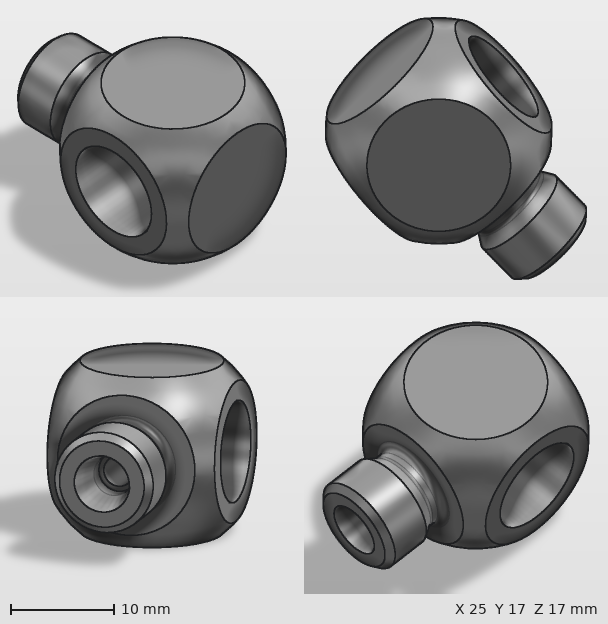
import cadquery as cq
import math

BODY_SIZE = 17.0
SPHERE_DIAMETER = 22.0
BANJO_BORE_DIAMETER = 10.0

STUD_LENGTH = 8.0
STUD_DIAMETER = 10.0
STUD_CHAMFER = 0.7
THREAD_LENGTH = 4.93
UNDERCUT_DIAMETER = 8.4
UNDERCUT_RUNOUT_ANGLE = 30.0
UNDERCUT_RADIUS = 0.8

CONE_MOUTH_DIAMETER = 5.6
CONE_HALF_ANGLE = 12.0
SOCKET_DIAMETER = 4.0
SOCKET_DEPTH = 5.5
PASSAGE_DIAMETER = 3.0

BODY_FACE_X = -BODY_SIZE / 2
STUD_END_X = BODY_FACE_X - STUD_LENGTH


def make_body():
    """Cube with its edges and corners trimmed by the sphere."""
    cube = cq.Workplane("XY").box(BODY_SIZE, BODY_SIZE, BODY_SIZE)
    return cube.intersect(cq.Workplane("XY").sphere(SPHERE_DIAMETER / 2))


def revolve_about_x(profile):
    """Revolve a closed XY half profile about the stud axis."""
    return profile.close().revolve(360, (0, 0, 0), (1, 0, 0))


def make_stud():
    """Chamfered stud with a blended undercut next to the body."""
    stud_radius = STUD_DIAMETER / 2
    neck_radius = UNDERCUT_DIAMETER / 2
    thread_end_x = STUD_END_X + THREAD_LENGTH
    runout = math.radians(UNDERCUT_RUNOUT_ANGLE)

    tangent_length = UNDERCUT_RADIUS * math.tan(runout / 2)
    corner_x = thread_end_x + (stud_radius - neck_radius) / math.tan(runout)
    blend_start = (
        corner_x - tangent_length * math.cos(runout),
        neck_radius + tangent_length * math.sin(runout),
    )
    blend_end = (corner_x + tangent_length, neck_radius)
    blend_middle = (
        blend_end[0] - UNDERCUT_RADIUS * math.sin(runout / 2),
        neck_radius + UNDERCUT_RADIUS * (1 - math.cos(runout / 2)),
    )

    root_start = (BODY_FACE_X - UNDERCUT_RADIUS, neck_radius)
    root_middle = (
        root_start[0] + UNDERCUT_RADIUS * math.sin(math.pi / 4),
        neck_radius + UNDERCUT_RADIUS * (1 - math.cos(math.pi / 4)),
    )
    root_end = (BODY_FACE_X, neck_radius + UNDERCUT_RADIUS)

    profile = (
        cq.Workplane("XY")
        .moveTo(STUD_END_X, 0)
        .lineTo(STUD_END_X, stud_radius - STUD_CHAMFER)
        .lineTo(STUD_END_X + STUD_CHAMFER, stud_radius)
        .lineTo(thread_end_x, stud_radius)
        .lineTo(*blend_start)
        .threePointArc(blend_middle, blend_end)
        .lineTo(*root_start)
        .threePointArc(root_middle, root_end)
        .lineTo(0, root_end[1])
        .lineTo(0, 0)
    )
    return revolve_about_x(profile)


def make_banjo_bore():
    """Through bore along Y."""
    return cq.Workplane("XZ").circle(BANJO_BORE_DIAMETER / 2).extrude(BODY_SIZE / 2, both=True)


def make_socket():
    """Conical tube socket, tube stop and passage into the banjo bore."""
    mouth_radius = CONE_MOUTH_DIAMETER / 2
    socket_radius = SOCKET_DIAMETER / 2
    passage_radius = PASSAGE_DIAMETER / 2
    cone_depth = (mouth_radius - socket_radius) / math.tan(math.radians(CONE_HALF_ANGLE))
    stop_x = STUD_END_X + SOCKET_DEPTH

    profile = (
        cq.Workplane("XY")
        .moveTo(STUD_END_X, 0)
        .lineTo(STUD_END_X, mouth_radius)
        .lineTo(STUD_END_X + cone_depth, socket_radius)
        .lineTo(stop_x, socket_radius)
        .lineTo(stop_x, passage_radius)
        .lineTo(0, passage_radius)
        .lineTo(0, 0)
    )
    return revolve_about_x(profile)


result = make_body().union(make_stud()).cut(make_banjo_bore()).cut(make_socket())